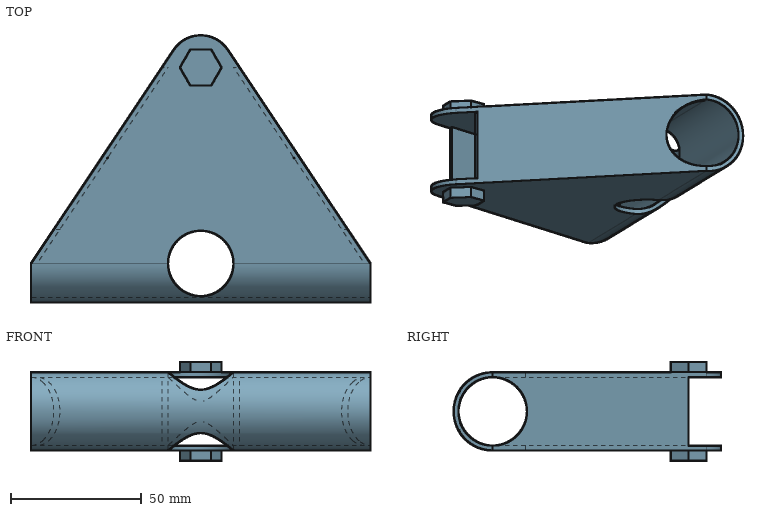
import cadquery as cq
import math

length = 130.0
depth = 102.5
overall_height = 38.0
tube_diameter = 30.0
wall = 2.0
bolt_distance = 75.0
cross_hole_diameter = 25.0
bolt_across_corners = 16.0

half_length = length / 2
tube_radius = tube_diameter / 2
bore_radius = tube_radius - wall
apex_radius = depth - tube_radius - bolt_distance
bolt_head_height = (overall_height - tube_diameter) / 2

edge_normal = (
    math.acos(apex_radius / math.hypot(half_length, bolt_distance))
    - math.atan2(bolt_distance, half_length)
)
tangent_x = apex_radius * math.cos(edge_normal)
tangent_y = bolt_distance + apex_radius * math.sin(edge_normal)


def make_front_half_tube():
    """Half cylinder closing the part on the side away from the apex."""
    return (
        cq.Workplane("YZ")
        .moveTo(0, tube_radius)
        .threePointArc((-tube_radius, 0), (0, -tube_radius))
        .close()
        .extrude(half_length, both=True)
    )


def make_bore():
    return cq.Workplane("YZ").circle(bore_radius).extrude(half_length, both=True)


def make_triangle_body():
    return (
        cq.Workplane("XY")
        .moveTo(-half_length, 0)
        .lineTo(half_length, 0)
        .lineTo(tangent_x, tangent_y)
        .threePointArc((0, bolt_distance + apex_radius), (-tangent_x, tangent_y))
        .close()
        .extrude(tube_radius, both=True)
    )


def make_cavity():
    """Space between the plates, inside the slanted walls and open at the apex."""
    base_x = half_length - wall / math.cos(edge_normal)
    mouth_x = (apex_radius - wall) / math.cos(edge_normal)
    inside = (
        cq.Workplane("XY")
        .polyline([(-base_x, 0), (base_x, 0), (mouth_x, bolt_distance), (-mouth_x, bolt_distance)])
        .close()
        .extrude(bore_radius, both=True)
    )
    mouth = (
        cq.Workplane("XY", origin=(0, bolt_distance, 0))
        .box(length, 2 * apex_radius, 2 * bore_radius, centered=(True, False, True))
    )
    return inside.union(mouth)


def make_bolt_head(base_z):
    return (
        cq.Workplane("XY", origin=(0, bolt_distance, base_z))
        .polygon(6, bolt_across_corners)
        .extrude(bolt_head_height)
    )


body = make_triangle_body().union(make_front_half_tube())
body = body.cut(make_cavity()).cut(make_bore())

cross_hole = cq.Workplane("XY").circle(cross_hole_diameter / 2).extrude(tube_radius, both=True)
body = body.cut(cross_hole)

for head_base_z in (tube_radius, -tube_radius - bolt_head_height):
    body = body.union(make_bolt_head(head_base_z))

result = body